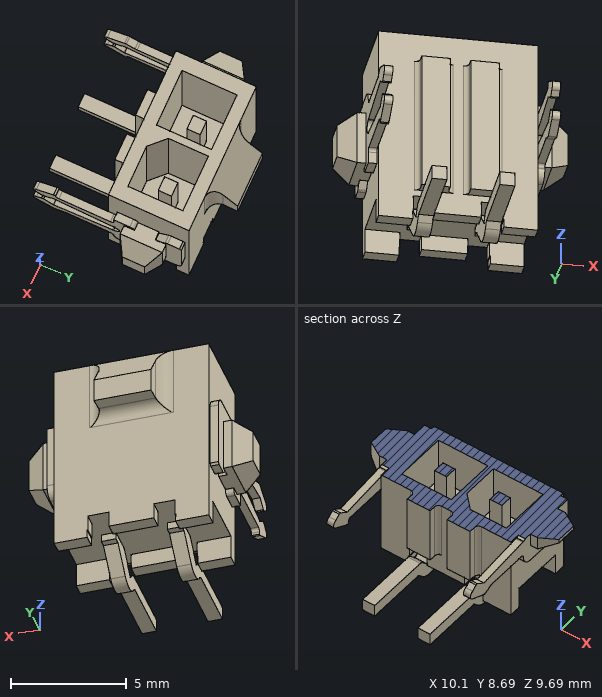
import cadquery as cq
import math


HOUSING_WIDTH = 7.0
HOUSING_DEPTH = 3.82
HOUSING_HEIGHT = 9.2
MID_DEPTH = HOUSING_DEPTH / 2

CAVITY_WIDTH = 2.65
CAVITY_DEPTH = 2.61
CAVITY_FLOOR = 2.03
CAVITY_WEB = 0.32
KEY_CHAMFER = 0.71

LEG_THICKNESS = 0.61
LEG_HEIGHT = 1.14
LEG_SPACING = 4.0
TAB_WIDTH = 2.03
TAB_CLEARANCE = 0.39
NOTCH_OUTER_SPACING = 3.93

RIB_WIDTH = 1.25
RIB_CENTER = 1.07
RIB_PROJECTION = 0.53
RIB_BOTTOM = 1.44
RIB_TOP = 7.84
RIB_ROOT_RADIUS = 0.21

LATCH_WIDTH = 2.58
LATCH_PROJECTION = 1.3
LATCH_TIP_TOP = 7.37
LATCH_TIP_BOTTOM = 6.27
LATCH_ROOT_BOTTOM = 6.33
LATCH_ROOT_RADIUS = 0.61
LATCH_LOWER_EDGE = 5.86

PIN_PITCH = 2.98
PIN_WIDTH = 0.66
PIN_THICKNESS = 0.63
PIN_TOP = 6.08
PIN_ROOT_TOP = (LEG_HEIGHT + CAVITY_FLOOR) / 2
PIN_HEEL_BACK = 2.33
PIN_HEEL_FRONT = 2.02
PIN_HEEL_BOTTOM = 0.79
PIN_RAMP_TOP = 1.12
PIN_RAMP_OFFSET = 1.24
PIN_TAIL_END = -3.57
PIN_TAIL_TOP = 0.64
PIN_TAIL_CREST_Y = -0.2
PIN_TAIL_KNEE_Y = -0.41
PIN_SAG_RADIUS = 0.79
PIN_CREST_RADIUS = 0.2

CLIP_THICKNESS = 0.38
CLIP_OUTER_X = -HOUSING_WIDTH / 2 - CLIP_THICKNESS
CLIP_MID_Z = 4.63
CLIP_HALF_HEIGHT = 1.82
CLIP_FRONT = 0.42
CLIP_BACK = 3.63
CLIP_CORNER_RADIUS = 0.5
CLIP_ROOT_RADIUS = 0.15
SLIT_RADIUS = 0.33
SLIT_CENTER_Y = 0.35
FOOT_FRONT_EDGE = 1.41
FOOT_BACK_EDGE = 2.91
FOOT_NOTCH_HEIGHT = 0.51
FOOT_CORNER_RADIUS = 0.22
FOOT_BEVEL_RADIUS = 0.17
HEEL_CHAMFER = 0.09

PRONG_OUTER = 1.13
PRONG_TIP_Y = -3.41
PRONG_TIP_HEIGHT = 0.73
PRONG_TIP_HALF_WIDTH = 0.23
PRONG_TIP_SETBACK = 0.16
PRONG_TOE_Y = -2.95
PRONG_TOE_HALF_LENGTH = 0.05
PRONG_TOE_HEIGHT = 0.31
PRONG_THROAT_Y = -2.43
PRONG_THROAT_HEIGHT = 0.63
BARB_Y = -2.38
SLOPED_BARB_START = -1.89
SLOPED_BARB_HEIGHT = 1.34
SLOPED_BARB_START_RADIUS = 0.25
SLOPED_BARB_TIP_RADIUS = 0.1
STEPPED_BARB_HEIGHT = 1.4
STEPPED_BARB_HALF_FLAT = 0.05
STEPPED_BARB_RADIUS = 0.15

PEG_SPAN = 10.14
PEG_SHOULDER_X = 4.27
PEG_DEPTH = 2.0
PEG_HEIGHT = 2.49
PEG_TAPER = 0.47
PEG_CENTER_Y = 1.91
PEG_DROP = 0.31
NECK_DEPTH = 0.98


def box(x_range, y_range, z_range):
    sizes = [high - low for low, high in (x_range, y_range, z_range)]
    corner = (x_range[0], y_range[0], z_range[0])
    return cq.Workplane("XY").box(*sizes, centered=False).translate(corner)


def side_plate(points, x_start, thickness):
    """Plate with a polygonal (Y, Z) outline, thickened along +X."""
    return cq.Workplane("YZ", origin=(x_start, 0, 0)).polyline(points).close().extrude(thickness)


def make_housing():
    half = HOUSING_WIDTH / 2
    everywhere_y = (0, HOUSING_DEPTH)
    body = box((-half, half), everywhere_y, (0, HOUSING_HEIGHT))
    body = body.cut(box((-half, half), (LEG_THICKNESS, HOUSING_DEPTH - LEG_THICKNESS), (0, LEG_HEIGHT)))
    body = body.cut(box((-LEG_SPACING / 2, LEG_SPACING / 2), everywhere_y, (0, TAB_CLEARANCE)))
    for side in (-1, 1):
        notch = sorted((side * TAB_WIDTH / 2, side * NOTCH_OUTER_SPACING / 2))
        body = body.cut(box(notch, everywhere_y, (0, LEG_HEIGHT)))

        cavity_x = side * (CAVITY_WEB + CAVITY_WIDTH) / 2
        cavity = box(
            (cavity_x - CAVITY_WIDTH / 2, cavity_x + CAVITY_WIDTH / 2),
            (MID_DEPTH - CAVITY_DEPTH / 2, MID_DEPTH + CAVITY_DEPTH / 2),
            (CAVITY_FLOOR, HOUSING_HEIGHT),
        )
        if side > 0:
            cavity = cavity.edges("|Z and <X and <Y").chamfer(KEY_CHAMFER)
        body = body.cut(cavity)
    return body


def make_rib(center_x):
    """Vertical rib on the front face, flared at its root by concave fillets."""
    half = RIB_WIDTH / 2
    flare = half + RIB_ROOT_RADIUS
    mid_arc = RIB_ROOT_RADIUS * (1 - math.sqrt(0.5))
    return (
        cq.Workplane("XY", origin=(center_x, 0, RIB_BOTTOM))
        .moveTo(-flare, 0)
        .threePointArc((-half - mid_arc, -mid_arc), (-half, -RIB_ROOT_RADIUS))
        .lineTo(-half, -RIB_PROJECTION)
        .lineTo(half, -RIB_PROJECTION)
        .lineTo(half, -RIB_ROOT_RADIUS)
        .threePointArc((half + mid_arc, -mid_arc), (flare, 0))
        .close()
        .extrude(RIB_TOP - RIB_BOTTOM)
    )


def make_latch():
    """Rear wedge, shaped by a side profile and by a plan with concave root fillets."""
    half = LATCH_WIDTH / 2
    flare = half + LATCH_ROOT_RADIUS
    mid_arc = LATCH_ROOT_RADIUS * (1 - math.sqrt(0.5))
    root_y = HOUSING_DEPTH
    tangent_y = root_y + LATCH_ROOT_RADIUS
    tip_y = root_y + LATCH_PROJECTION
    plan = (
        cq.Workplane("XY")
        .moveTo(-flare, root_y)
        .threePointArc((-half - mid_arc, root_y + mid_arc), (-half, tangent_y))
        .lineTo(-half, tip_y)
        .lineTo(half, tip_y)
        .lineTo(half, tangent_y)
        .threePointArc((half + mid_arc, root_y + mid_arc), (flare, root_y))
        .close()
        .extrude(HOUSING_HEIGHT)
    )
    profile = (
        cq.Workplane("YZ", origin=(-flare, 0, 0))
        .moveTo(root_y, HOUSING_HEIGHT)
        .lineTo(tip_y, LATCH_TIP_TOP)
        .lineTo(tip_y, LATCH_TIP_BOTTOM)
        .lineTo(tangent_y, LATCH_ROOT_BOTTOM)
        .tangentArcPoint((root_y, LATCH_LOWER_EDGE), relative=False)
        .close()
        .extrude(2 * flare)
    )
    return plan.intersect(profile)


def meeting_point(falling_sum, rising_difference):
    """Point where the 45 degree lines y + z = falling_sum and z - y = rising_difference cross."""
    return ((falling_sum - rising_difference) / 2, (falling_sum + rising_difference) / 2)


def make_pin(center_x):
    """Square contact whose tail dips under the housing in a 45 degree V and runs out forwards."""
    x_start = center_x - PIN_WIDTH / 2
    lower_rise = PIN_HEEL_BOTTOM - PIN_HEEL_FRONT
    upper_rise = lower_rise + PIN_RAMP_OFFSET
    sag = meeting_point(PIN_TAIL_KNEE_Y, lower_rise)
    saddle = meeting_point(PIN_TAIL_CREST_Y + PIN_TAIL_TOP, upper_rise)
    crest = (PIN_TAIL_CREST_Y, PIN_TAIL_TOP)
    ramp_top_y = PIN_RAMP_TOP - upper_rise
    tail = side_plate(
        [
            (PIN_HEEL_BACK, PIN_ROOT_TOP),
            (PIN_HEEL_BACK, PIN_HEEL_BOTTOM),
            (PIN_HEEL_FRONT, PIN_HEEL_BOTTOM),
            sag,
            (PIN_TAIL_KNEE_Y, 0),
            (PIN_TAIL_END, 0),
            (PIN_TAIL_END, PIN_TAIL_TOP),
            crest,
            saddle,
            (ramp_top_y, PIN_RAMP_TOP),
            (ramp_top_y, PIN_ROOT_TOP),
        ],
        x_start,
        PIN_WIDTH,
    )
    for corner, radius in ((sag, PIN_SAG_RADIUS), (crest, PIN_CREST_RADIUS)):
        tail = tail.edges(cq.NearestToPointSelector((center_x, *corner))).fillet(radius)
    post = box(
        (x_start, x_start + PIN_WIDTH),
        (MID_DEPTH - PIN_THICKNESS / 2, MID_DEPTH + PIN_THICKNESS / 2),
        (PIN_ROOT_TOP, PIN_TOP),
    )
    return tail.union(post)


def make_prong(side, barb):
    """Spring prong, above (+1) or below (-1) the slit; barb lists its outer corner points."""
    root_y = CLIP_FRONT + CLIP_ROOT_RADIUS
    tip_back = PRONG_TIP_Y + PRONG_TIP_SETBACK

    def place(y, height):
        return (y, CLIP_MID_Z + side * height)

    prong = cq.Workplane("YZ", origin=(CLIP_OUTER_X, 0, 0)).moveTo(*place(root_y, PRONG_OUTER))
    for point in barb:
        prong = prong.lineTo(*place(*point))
    return (
        prong.lineTo(*place(tip_back, PRONG_TIP_HEIGHT + PRONG_TIP_HALF_WIDTH))
        .threePointArc(
            place(PRONG_TIP_Y, PRONG_TIP_HEIGHT),
            place(tip_back, PRONG_TIP_HEIGHT - PRONG_TIP_HALF_WIDTH),
        )
        .lineTo(*place(PRONG_TOE_Y - PRONG_TOE_HALF_LENGTH, PRONG_TOE_HEIGHT))
        .lineTo(*place(PRONG_TOE_Y + PRONG_TOE_HALF_LENGTH, PRONG_TOE_HEIGHT))
        .lineTo(*place(PRONG_THROAT_Y, PRONG_THROAT_HEIGHT))
        .lineTo(*place(SLIT_CENTER_Y, SLIT_RADIUS))
        .lineTo(*place(root_y, SLIT_RADIUS))
        .close()
        .extrude(CLIP_THICKNESS)
    )


def round_clip_corner(solid, corner, radius):
    """Fillet the clip edge that runs along X through the given (Y, Z) corner."""
    middle = (CLIP_OUTER_X + CLIP_THICKNESS / 2, *corner)
    return solid.edges(cq.NearestToPointSelector(middle)).fillet(radius)


def make_clip():
    """Left-hand board clip: a plate with a notched foot and two barbed prongs."""
    bottom = CLIP_MID_Z - CLIP_HALF_HEIGHT
    top = CLIP_MID_Z + CLIP_HALF_HEIGHT
    plate = box((CLIP_OUTER_X, CLIP_OUTER_X + CLIP_THICKNESS), (CLIP_FRONT, CLIP_BACK), (bottom, top))
    plate = plate.edges("|X and >Z").fillet(CLIP_CORNER_RADIUS)
    plate = plate.edges("|X and <Z and >Y").chamfer(HEEL_CHAMFER)
    foot_notch = side_plate(
        [
            (FOOT_FRONT_EDGE, bottom),
            (FOOT_BACK_EDGE, bottom),
            (FOOT_FRONT_EDGE + NECK_DEPTH, bottom + FOOT_NOTCH_HEIGHT),
            (FOOT_FRONT_EDGE, bottom + FOOT_NOTCH_HEIGHT),
        ],
        CLIP_OUTER_X,
        CLIP_THICKNESS,
    )
    plate = plate.cut(foot_notch)
    plate = round_clip_corner(plate, (FOOT_FRONT_EDGE, bottom), FOOT_CORNER_RADIUS)
    plate = round_clip_corner(plate, (FOOT_BACK_EDGE, bottom), FOOT_BEVEL_RADIUS)

    sloped_barb = [(SLOPED_BARB_START, PRONG_OUTER), (BARB_Y, SLOPED_BARB_HEIGHT)]
    step_back = BARB_Y + STEPPED_BARB_HALF_FLAT
    stepped_barb = [
        (step_back, PRONG_OUTER),
        (step_back, STEPPED_BARB_HEIGHT),
        (BARB_Y - STEPPED_BARB_HALF_FLAT, STEPPED_BARB_HEIGHT),
    ]
    upper_outer = CLIP_MID_Z + PRONG_OUTER
    lower_outer = CLIP_MID_Z - PRONG_OUTER
    clip = plate.union(make_prong(1, sloped_barb)).union(make_prong(-1, stepped_barb))
    clip = round_clip_corner(clip, (CLIP_FRONT, upper_outer), CLIP_ROOT_RADIUS)
    clip = round_clip_corner(clip, (CLIP_FRONT, lower_outer), CLIP_ROOT_RADIUS)
    clip = round_clip_corner(clip, (SLOPED_BARB_START, upper_outer), SLOPED_BARB_START_RADIUS)
    clip = round_clip_corner(clip, (BARB_Y, CLIP_MID_Z + SLOPED_BARB_HEIGHT), SLOPED_BARB_TIP_RADIUS)
    clip = round_clip_corner(clip, (step_back, lower_outer), STEPPED_BARB_RADIUS)
    slit_end = (
        cq.Workplane("YZ", origin=(CLIP_OUTER_X, SLIT_CENTER_Y, CLIP_MID_Z))
        .circle(SLIT_RADIUS)
        .extrude(CLIP_THICKNESS)
    )
    return clip.cut(slit_end)


def make_peg():
    """Left-hand peg: a block with a tapered end and a neck running through the clip's foot notch."""
    center_z = CLIP_MID_Z - PEG_DROP
    block = box(
        (-PEG_SHOULDER_X, CLIP_OUTER_X),
        (PEG_CENTER_Y - PEG_DEPTH / 2, PEG_CENTER_Y + PEG_DEPTH / 2),
        (center_z - PEG_HEIGHT / 2, center_z + PEG_HEIGHT / 2),
    )
    taper = (
        cq.Workplane("YZ", origin=(-PEG_SHOULDER_X, PEG_CENTER_Y, center_z))
        .rect(PEG_DEPTH, PEG_HEIGHT)
        .workplane(offset=PEG_SHOULDER_X - PEG_SPAN / 2)
        .rect(PEG_DEPTH - 2 * PEG_TAPER, PEG_HEIGHT - 2 * PEG_TAPER)
        .loft()
    )
    neck = box(
        (CLIP_OUTER_X, -HOUSING_WIDTH / 2),
        (FOOT_FRONT_EDGE, FOOT_FRONT_EDGE + NECK_DEPTH),
        (center_z - PEG_HEIGHT / 2, center_z),
    )
    return block.union(taper).union(neck)


result = make_housing().union(make_latch())
left_mount = make_clip().union(make_peg())
right_mount = left_mount.rotate((0, 0, CLIP_MID_Z), (0, 1, CLIP_MID_Z), 180)
result = result.union(left_mount).union(right_mount)
for side in (-1, 1):
    result = result.union(make_rib(side * RIB_CENTER)).union(make_pin(side * PIN_PITCH / 2))